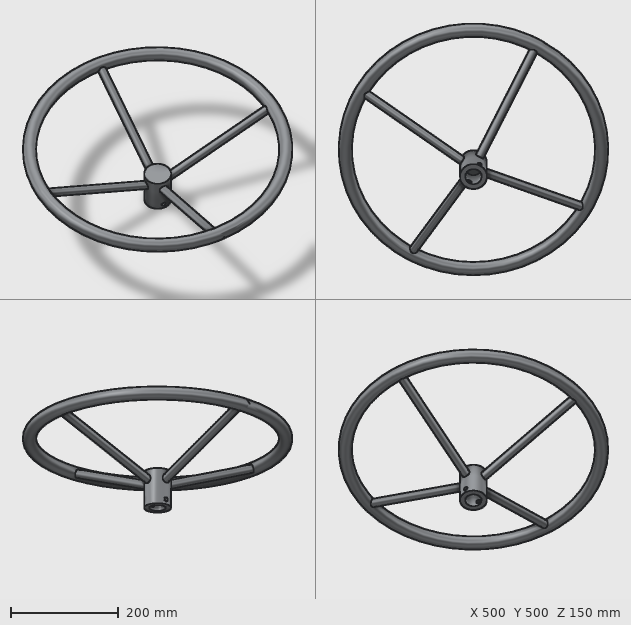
import cadquery as cq
import math

outer_diameter = 500.0
rim_bar_diameter = 25.0
total_height = 150.0
rim_radius = (outer_diameter - rim_bar_diameter) / 2
rim_height = total_height - rim_bar_diameter / 2

hub_diameter = 50.0
hub_height = 70.0
bore_diameter = 30.0
bore_depth = 45.0
pin_hole_diameter = 8.0
pin_hole_height = 10.0

spoke_count = 4
spoke_diameter = 16.0
spoke_start_radius = bore_diameter / 2
spoke_start_height = 47.5


def make_rim():
    ring = cq.Solid.makeTorus(rim_radius, rim_bar_diameter / 2)
    seam_angle = 180 / spoke_count
    return cq.Workplane(ring).translate((0, 0, rim_height)).rotate((0, 0, 0), (0, 0, 1), seam_angle)


def make_spoke(angle):
    run = rim_radius - spoke_start_radius
    rise = rim_height - spoke_start_height
    start_plane = cq.Plane(
        origin=(spoke_start_radius, 0, spoke_start_height),
        xDir=(0, 1, 0),
        normal=(run, 0, rise),
    )
    spoke = cq.Workplane(start_plane).circle(spoke_diameter / 2).extrude(math.hypot(run, rise))
    return spoke.rotate((0, 0, 0), (0, 0, 1), angle)


def make_bore():
    return cq.Workplane("XY").circle(bore_diameter / 2).extrude(bore_depth)


def make_pin_hole():
    """Cross hole along X through both walls of the hub."""
    axis_plane = cq.Workplane("YZ").center(0, pin_hole_height)
    return axis_plane.circle(pin_hole_diameter / 2).extrude(hub_diameter, both=True)


hub = cq.Workplane("XY").circle(hub_diameter / 2).extrude(hub_height)

wheel = make_rim()
for index in range(spoke_count):
    wheel = wheel.union(make_spoke(index * 360 / spoke_count), clean=False)
wheel = wheel.union(hub, clean=False)

result = wheel.cut(make_bore(), clean=False).cut(make_pin_hole(), clean=False)